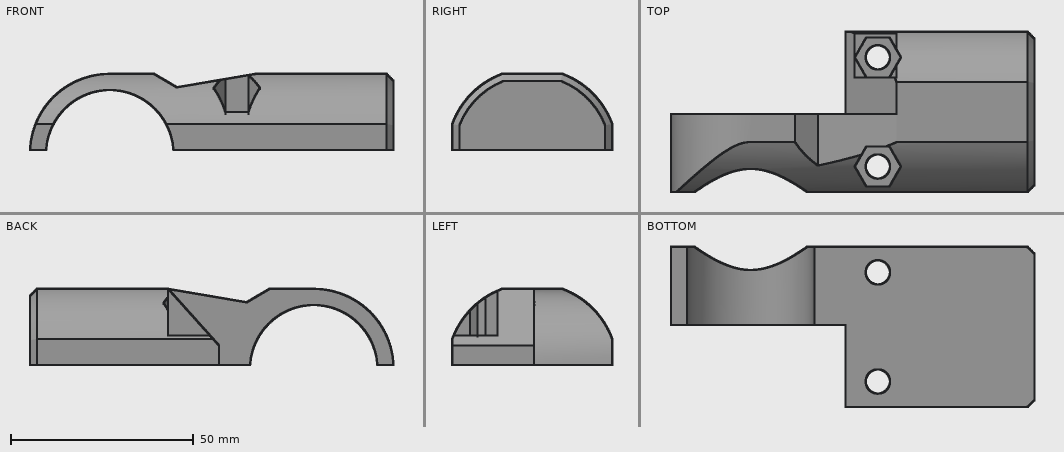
import cadquery as cq
import math

length = 99.8
width = 44.0
height = 21.0
body_radius = 23.4
axis_z = -1.0
end_chamfer = 2.0

ring_outer_radius = 22.0
ring_inner_radius = 17.5
ring_x = math.sqrt(ring_outer_radius**2 - axis_z**2)

arm_side_y = -0.5
notch_start_x = 34.0
notch_bottom_x = 40.3
notch_end_x = 62.0
notch_depth = 3.7

shoulder_x = 47.9
shoulder_z = 5.4
shoulder_top_x = 61.9

bolt_x = 56.8
bolt_y = 15.0
bolt_diameter = 6.6
nut_flats = 11.0
nut_floor_z = 3.3

clearance_floor_z = 8.2
clearance_end_x = 61.9

half_width = width / 2


def make_bar():
    """Round bar along X cut by flats, with its +X end chamfered all round except the base."""
    round_bar = (
        cq.Workplane("YZ", origin=(0, 0, axis_z))
        .circle(body_radius)
        .extrude(length)
        .faces(">X")
        .chamfer(end_chamfer)
    )
    flats = (
        cq.Workplane("XY")
        .box(length, width, height, centered=(False, True, False))
        .faces(">X")
        .edges("not <Z")
        .chamfer(end_chamfer)
    )
    return round_bar.intersect(flats)


def make_side_outline():
    """Envelope in XZ: half ring, flat, notch and flat, extruded across the width."""
    arc_angle = (math.pi / 2 + math.atan2(-axis_z, -ring_x)) / 2
    arc_mid = (
        ring_x + ring_outer_radius * math.cos(arc_angle),
        axis_z + ring_outer_radius * math.sin(arc_angle),
    )
    return (
        cq.Workplane("XZ")
        .moveTo(0, 0)
        .threePointArc(arc_mid, (ring_x, height))
        .lineTo(notch_start_x, height)
        .lineTo(notch_bottom_x, height - notch_depth)
        .lineTo(notch_end_x, height)
        .lineTo(length, height)
        .lineTo(length, 0)
        .close()
        .extrude(half_width, both=True)
    )


def make_ring_bore():
    """Cylinder across the arm that leaves the inside of the half ring."""
    return (
        cq.Workplane("XZ")
        .center(ring_x, axis_z)
        .circle(ring_inner_radius)
        .extrude(half_width, both=True)
    )


def make_shoulder_cut():
    """Material removed beside the arm, down to the sloped shoulder."""
    return (
        cq.Workplane("XZ", origin=(0, arm_side_y, 0))
        .moveTo(0, 0)
        .lineTo(shoulder_x, 0)
        .lineTo(shoulder_x, shoulder_z)
        .lineTo(shoulder_top_x, height)
        .lineTo(0, height)
        .close()
        .extrude(-width)
    )


def make_clearance():
    """Pocket from the shoulder to the side, starting at the inner nut flat."""
    return cq.Workplane("XY").box(
        clearance_end_x - shoulder_x, width, height, centered=False
    ).translate((shoulder_x, bolt_y - nut_flats / 2, clearance_floor_z))


def make_bolt_cuts():
    """Through holes and nut pockets, with hexagon corners along X."""
    centers = [(bolt_x, -bolt_y), (bolt_x, bolt_y)]
    nut_corners = nut_flats / math.cos(math.pi / 6)
    holes = cq.Workplane("XY").pushPoints(centers).circle(bolt_diameter / 2).extrude(height)
    nuts = (
        cq.Workplane("XY", origin=(0, 0, nut_floor_z))
        .pushPoints(centers)
        .polygon(6, nut_corners)
        .extrude(height)
    )
    return holes.union(nuts)


result = (
    make_bar()
    .intersect(make_side_outline())
    .cut(make_ring_bore())
    .cut(make_shoulder_cut())
    .cut(make_clearance())
    .cut(make_bolt_cuts())
)